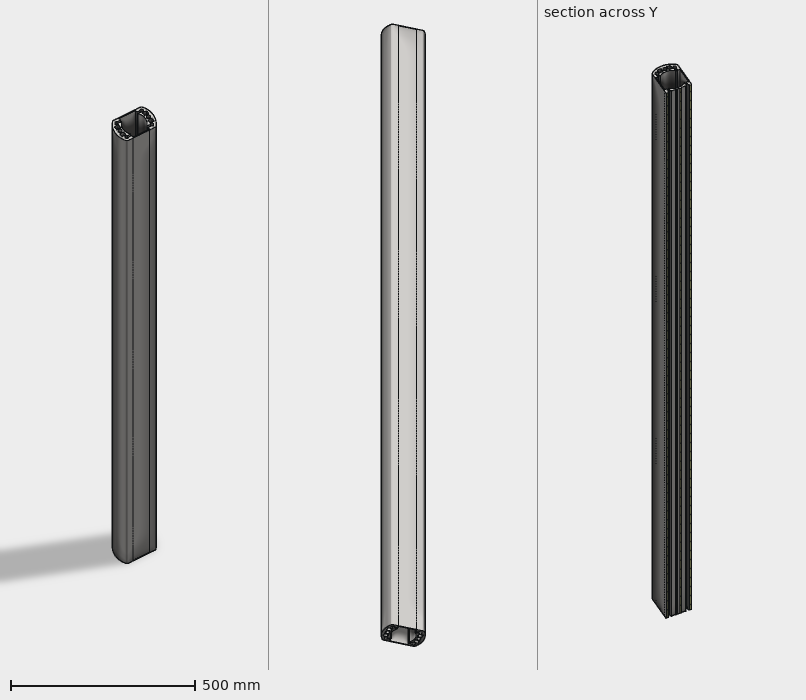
import cadquery as cq

length = 2000.0
width = 78.0
depth = 120.0
end_radius = depth / 2
corner_radius = 8.0

bore_diameter = 70.0
side_wall = 3.0
pocket_width = width - 2 * side_wall
pocket_depth = 52.0

middle_screw_diameter = 11.2
middle_screw_y = end_radius - 15.0

corner_screw_diameter = 9.5
corner_screw_x = width / 2 - 12.0
corner_screw_y = 40.0
slit_width = 5.2

chamber_start_x = 8.5
chamber_inner_width = 12.5
chamber_outer_width = 10.5
chamber_start_y = bore_diameter / 2 + 3.5
chamber_depth = 12.5

QUADRANTS = [(side, end) for side in (-1, 1) for end in (-1, 1)]


def outer_body():
    block = cq.Workplane("XY").rect(width, depth).extrude(length)
    ends = cq.Workplane("XY").circle(end_radius).extrude(length)
    body = block.intersect(ends)
    return body.edges("|Z").edges("<X or >X").fillet(corner_radius)


def main_bore():
    round_bore = cq.Workplane("XY").circle(bore_diameter / 2).extrude(length)
    side_pocket = cq.Workplane("XY").rect(pocket_width, pocket_depth).extrude(length)
    return round_bore.union(side_pocket)


def middle_screw_channels():
    places = [(0, -middle_screw_y), (0, middle_screw_y)]
    return cq.Workplane("XY").pushPoints(places).circle(middle_screw_diameter / 2).extrude(length)


def corner_screw_channel(side, end):
    x = side * corner_screw_x
    y = end * corner_screw_y
    channel = cq.Workplane("XY").center(x, y).circle(corner_screw_diameter / 2).extrude(length)
    slit = cq.Workplane("XY").center(x, y / 2).rect(slit_width, corner_screw_y).extrude(length)
    return channel.union(slit)


def chamber(side, end):
    inner_y = chamber_start_y
    outer_y = chamber_start_y + chamber_depth
    outline = [
        (chamber_start_x, inner_y),
        (chamber_start_x + chamber_inner_width, inner_y),
        (chamber_start_x + chamber_outer_width, outer_y),
        (chamber_start_x, outer_y),
    ]
    points = [(side * x, end * y) for x, y in outline]
    return cq.Workplane("XY").polyline(points).close().extrude(length)


result = outer_body().cut(main_bore()).cut(middle_screw_channels())
for side, end in QUADRANTS:
    result = result.cut(corner_screw_channel(side, end))
    result = result.cut(chamber(side, end))